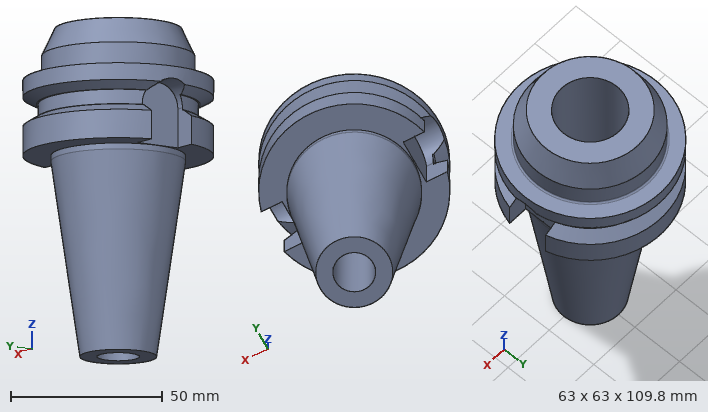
import cadquery as cq
import math

total_height = 109.8
gauge_height = 65.5
flange_bottom = 67.5
lower_rim_top = 77.0
groove_bottom = 79.8
groove_top = 84.7
upper_rim_bottom = 87.0
flange_top = 92.6
nose_cone_bottom = 100.8

gauge_radius = 44.5 / 2
taper_ratio = 7 / 24
taper_end_radius = gauge_radius - gauge_height * taper_ratio / 2
flange_radius = 63.0 / 2
groove_radius = 26.5
groove_ledge = 0.5
neck_radius = 25.4
nose_radius = 21.1
neck_fillet = 0.7

bore_radius = 12.7
bore_depth = 49.4
through_radius = 7.0

slot_width = 16.1
slot_top = 88.5
slot_floor = 22.6


def make_body():
    """Revolve the taper, grooved flange and nose around Z."""
    fillet_middle = neck_fillet * (1 - math.sqrt(0.5))
    profile = (
        cq.Workplane("XZ")
        .lineTo(taper_end_radius, 0)
        .lineTo(gauge_radius, gauge_height)
        .lineTo(gauge_radius, flange_bottom)
        .lineTo(flange_radius, flange_bottom)
        .lineTo(flange_radius, lower_rim_top)
        .lineTo(groove_radius + groove_ledge, groove_bottom)
        .lineTo(groove_radius, groove_bottom)
        .lineTo(groove_radius, groove_top)
        .lineTo(groove_radius + groove_ledge, groove_top)
        .lineTo(flange_radius, upper_rim_bottom)
        .lineTo(flange_radius, flange_top)
        .lineTo(neck_radius + neck_fillet, flange_top)
        .threePointArc(
            (neck_radius + fillet_middle, flange_top + fillet_middle),
            (neck_radius, flange_top + neck_fillet),
        )
        .lineTo(neck_radius, nose_cone_bottom)
        .lineTo(nose_radius, total_height)
        .lineTo(0, total_height)
        .close()
    )
    return profile.revolve(360, (0, 0, 0), (0, 1, 0))


def cut_bores(body):
    """Cut the blind tool bore from the top and the smaller hole through its floor."""
    through_hole = cq.Workplane("XY").circle(through_radius).extrude(total_height)
    tool_bore = (
        cq.Workplane("XY", origin=(0, 0, total_height))
        .circle(bore_radius)
        .extrude(-bore_depth)
    )
    return body.cut(through_hole).cut(tool_bore)


def make_slot():
    """Round-topped cutter for the drive slot on the +X side, open at the flange bottom."""
    half_width = slot_width / 2
    arc_start = slot_top - half_width
    return (
        cq.Workplane("YZ", origin=(slot_floor, 0, 0))
        .moveTo(-half_width, flange_bottom)
        .lineTo(half_width, flange_bottom)
        .lineTo(half_width, arc_start)
        .threePointArc((0, slot_top), (-half_width, arc_start))
        .close()
        .extrude(flange_radius)
    )


result = cut_bores(make_body())
for angle in (0, 180):
    result = result.cut(make_slot().rotate((0, 0, 0), (0, 0, 1), angle))